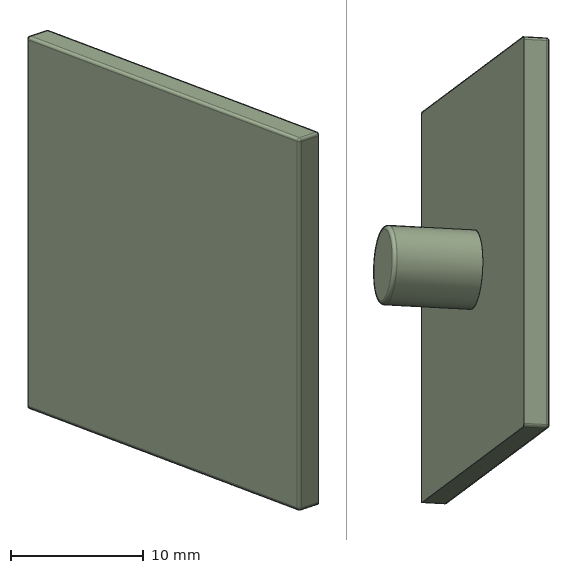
import cadquery as cq

plate_side = 30.0
plate_thickness = 2.0
plate_edge_radius = 0.25

post_diameter = 6.0
overall_depth = 9.0
post_length = overall_depth - plate_thickness
post_end_radius = 0.3


def make_plate():
    """Plate with its front face at Y = 0, its corners and front rim rounded."""
    plate = cq.Workplane("XY").box(
        plate_side, plate_thickness, plate_side, centered=(True, False, True)
    )
    return plate.edges("|Y or <Y").fillet(plate_edge_radius)


def make_post():
    """Post running back from the plate, with a rounded free end."""
    post = (
        cq.Workplane("XZ", origin=(0, plate_thickness, 0))
        .circle(post_diameter / 2)
        .extrude(-post_length)
    )
    return post.faces(">Y").edges().fillet(post_end_radius)


result = make_plate().union(make_post())